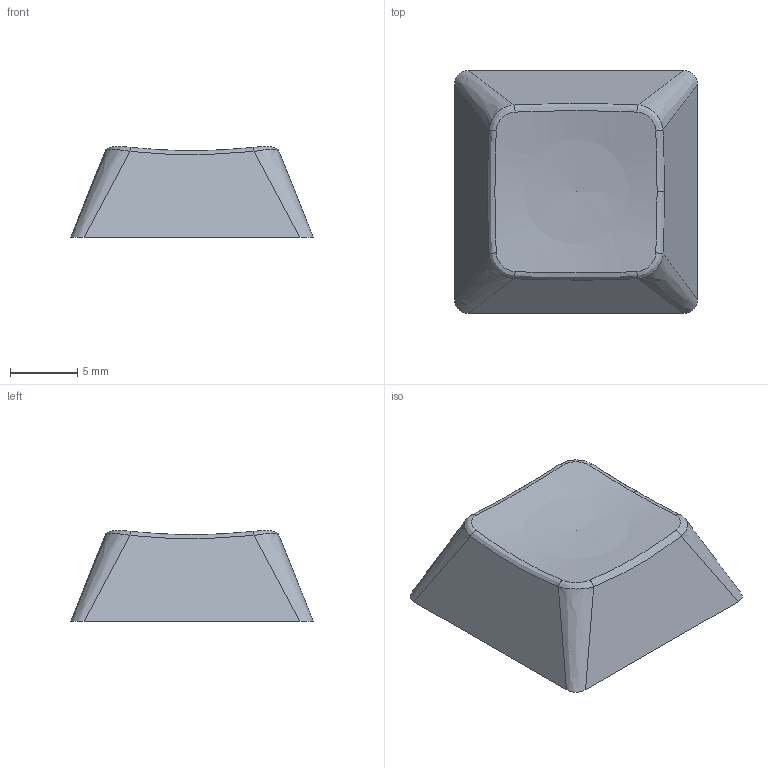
import cadquery as cq

BASE_SIDE = 18.0
BASE_CORNER_RADIUS = 1.0
BLANK_HEIGHT = 7.5
BLANK_TOP_SIDE = 12.0
BLANK_TOP_CORNER_RADIUS = 2.0
DISH_RADIUS = 41.0
DISH_LOW_Z = 6.0
RIM_FILLET_RADIUS = 0.5


def rounded_square(side, corner_radius):
    """Centred square outline with round corners."""
    return cq.Sketch().rect(side, side).vertices().fillet(corner_radius)


def tapered_blank():
    """Solid keycap body whose walls lean in towards the top."""
    bottom = rounded_square(BASE_SIDE, BASE_CORNER_RADIUS)
    top = rounded_square(BLANK_TOP_SIDE, BLANK_TOP_CORNER_RADIUS)
    top_location = cq.Location(cq.Vector(0, 0, BLANK_HEIGHT))
    return cq.Workplane("XY").placeSketch(bottom, top.moved(top_location)).loft()


def finger_dish():
    """Sphere that hollows the top face and trims the blank to height."""
    centre_z = DISH_LOW_Z + DISH_RADIUS
    return cq.Workplane("XY").sphere(DISH_RADIUS).translate((0, 0, centre_z))


def round_rim(body):
    """Round the edge between the dish and the walls."""
    return body.faces("%SPHERE").edges().fillet(RIM_FILLET_RADIUS)


result = round_rim(tapered_blank().cut(finger_dish()))